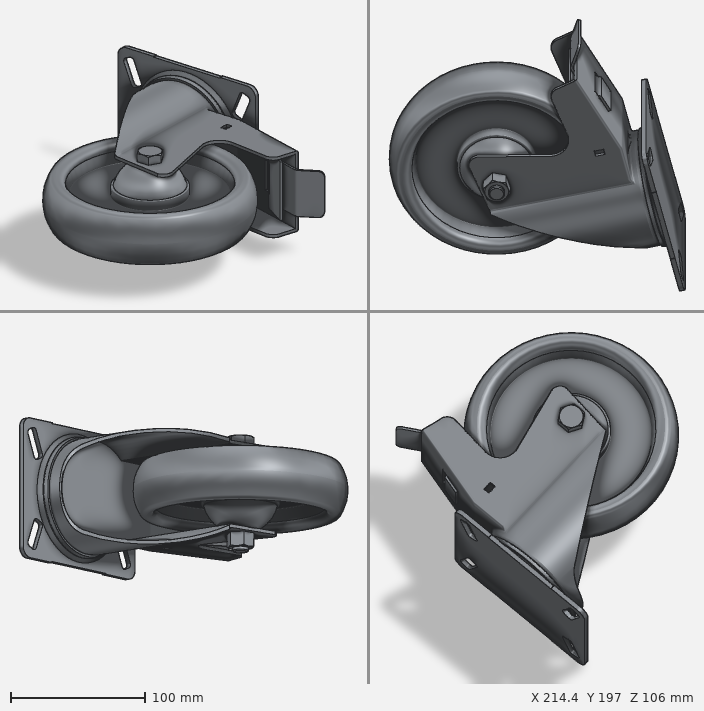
import cadquery as cq
import math


PLATE_LENGTH = 128.7
PLATE_WIDTH = 106.0
PLATE_THICKNESS = 3.6
PLATE_CORNER_RADIUS = 8.0
RELIEF_LENGTH = 61.8
RELIEF_DEPTH = 0.6
CUTTER_DEPTH = 4 * PLATE_THICKNESS
SLOT_LENGTH = 23.5
SLOT_WIDTH = 10.0
SLOT_CORNER_RADIUS = 3.0
SLOT_X = 50.6
SLOT_Z = 34.3
SLOT_TILT = 22.7
RING_TOP_RADIUS = 48.5
RING_WAIST_RADIUS = 45.7
RING_BOTTOM_RADIUS = 44.8
RING_GROOVE_RADIUS = 44.4
RING_GROOVE_TOP = -7.0
RING_GROOVE_BOTTOM = -7.5
RING_BOTTOM = -11.0

SHEET = 2.5
CUP_RADIUS = 43.7
CUP_INNER_RADIUS = CUP_RADIUS - SHEET
CUP_EDGE_INSET = 0.6
CUP_EDGE_HEIGHT = 2.5
CHEEK_INNER_Z = 30.5
CHEEK_OUTER_Z = CHEEK_INNER_Z + SHEET
CREASE_RADIUS = 2.4
WEB_TOP = -18.7
WEB_BEND_X = 61.8
WEB_SLOPE = 15.3
WEB_LENGTH = 70.8
WEB_EDGE_RADIUS = 2.4
WEB_BEND_RADIUS = 8.5
CHANNEL_OVERRUN = 2.1

BRAKE_LOBE_ARC = [(125.7, -52.3), (122.7, -58.1), (116.5, -60.0)]
WHEEL_BAY_ARC = [(82.0, -55.8), (70.8, -60.0), (66.7, -71.5)]
AXLE_LOBE_ARC = [(78.0, -123.0), (76.8, -130.8), (71.6, -133.8)]
AXLE_LOBE_CORNER = (26.5, -127.5)
MOUTH_ARC = [(-27.2, -30.7), (-33.9, -24.2), (-CUP_RADIUS, -21.7)]

WINDOW_WIDTH = 4.7
WINDOW_HEIGHT = 7.0
WINDOW_X = 61.8
WINDOW_Y = -36.2

OPENING_START = 33.0
OPENING_END = 42.7
OPENING_HALF_WIDTH = 12.5

WHEEL_X = 52.0
WHEEL_Y = -117.0
WHEEL_RADIUS = 80.0
TYRE_HALF_WIDTH = 20.4
TYRE_SHOULDER_RADIUS = 76.0
TYRE_SHOULDER_Z = 16.0
TYRE_LIP_RADIUS = 7.0
RIM_RADIUS = 63.0
RIM_HALF_WIDTH = TYRE_HALF_WIDTH - TYRE_LIP_RADIUS
DISC_RADIUS = 60.3
DISC_HALF_THICKNESS = 4.0
HUB_RADIUS = 29.4
HUB_STEP_Z = 12.2
DOME_RADIUS = 28.5
DOME_CENTRE_Z = 4.7
RIM_FILLET = 0.6

BOLT_RADIUS = 6.0
BOLT_END_Z = -46.8
BOLT_END_CHAMFER = 0.9
HEX_ACROSS_FLATS = 18.0
HEX_CHAMFER_INSET = 1.5
HEX_CHAMFER_HEIGHT = 0.9
HEAD_HEIGHT = 7.0
NUT_HEIGHT = 10.7
NUT_TURN = -5.0

LEVER_THICKNESS = 2.0
PEDAL_HALF_WIDTH = 18.9
PEDAL_CORNER_RADIUS = 4.7
PEDAL_SLOPE = 30.0
PEDAL_BEND_RADIUS = 2.8
PEDAL_TIP_X = 150.1
STRIP_START = 44.2
STRIP_END = 73.0
FOOT_HALF_WIDTH = 24.0
FOOT_LENGTH = 23.5
FOOT_SLOPE = 31.5
FOOT_X = 99.7
FOOT_Y = -34.0
HOOK_TIP = 21.9
HOOK_BEND = 36.5
HOOK_ROOT = 41.2
HOOK_THICKNESS = 2.0


def slab(outline, half_width):
    """Extrude a closed XY outline equally to both sides of Z = 0."""
    return outline.extrude(half_width, both=True)


def disc(radius, top, bottom):
    """Cylinder about the swivel axis between two heights in Y."""
    return cq.Workplane("XZ").workplane(offset=-top).circle(radius).extrude(top - bottom)


def web_point(distance, height=0.0):
    """Point on the sloping web: distance along it from the bend, height above its outer face."""
    slope = math.radians(WEB_SLOPE)
    x = WEB_BEND_X + distance * math.cos(slope) + height * math.sin(slope)
    y = WEB_TOP - distance * math.sin(slope) + height * math.cos(slope)
    return (x, y)


def on_wheel_axis(body):
    """Move a body built about the Z axis onto the wheel axis."""
    return body.translate((WHEEL_X, WHEEL_Y, 0))


def bearing_ring():
    profile = [
        (0, -PLATE_THICKNESS),
        (RING_TOP_RADIUS, -PLATE_THICKNESS),
        (RING_WAIST_RADIUS, RING_GROOVE_TOP),
        (RING_GROOVE_RADIUS, RING_GROOVE_TOP),
        (RING_GROOVE_RADIUS, RING_GROOVE_BOTTOM),
        (RING_WAIST_RADIUS, RING_GROOVE_BOTTOM),
        (RING_BOTTOM_RADIUS, RING_BOTTOM),
        (0, RING_BOTTOM),
    ]
    return cq.Workplane("XY").polyline(profile).close().revolve(360, (0, 0, 0), (0, 1, 0))


def make_plate():
    plate = (
        cq.Workplane("XY")
        .box(PLATE_LENGTH, PLATE_THICKNESS, PLATE_WIDTH)
        .edges("|Y")
        .fillet(PLATE_CORNER_RADIUS)
        .translate((0, -PLATE_THICKNESS / 2, 0))
    )
    slot = (
        cq.Workplane("XY")
        .box(SLOT_WIDTH, CUTTER_DEPTH, SLOT_LENGTH)
        .edges("|Y")
        .fillet(SLOT_CORNER_RADIUS)
    )
    relief = cq.Workplane("XY").box(RELIEF_LENGTH, CUTTER_DEPTH, 2 * RELIEF_DEPTH)
    for side_z in (-1, 1):
        plate = plate.cut(relief.translate((0, 0, side_z * PLATE_WIDTH / 2)))
        for side_x in (-1, 1):
            tilted = slot.rotate((0, 0, 0), (0, 1, 0), side_x * side_z * SLOT_TILT)
            plate = plate.cut(tilted.translate((side_x * SLOT_X, 0, side_z * SLOT_Z)))
    return plate.union(bearing_ring())


def fork_side_outline():
    """Outline of the fork along Z: open mouth, two cheek lobes and the sloping back."""
    outline = (
        cq.Workplane("XY")
        .moveTo(-CUP_RADIUS, RING_BOTTOM)
        .lineTo(CUP_RADIUS, RING_BOTTOM)
        .lineTo(CUP_RADIUS, WEB_TOP)
        .lineTo(WEB_BEND_X, WEB_TOP)
        .lineTo(*web_point(WEB_LENGTH))
    )
    for start, middle, end in (BRAKE_LOBE_ARC, WHEEL_BAY_ARC, AXLE_LOBE_ARC):
        outline = outline.lineTo(*start).threePointArc(middle, end)
    mouth_start, mouth_middle, mouth_end = MOUTH_ARC
    outline = (
        outline.lineTo(*AXLE_LOBE_CORNER)
        .lineTo(*mouth_start)
        .threePointArc(mouth_middle, mouth_end)
        .close()
    )
    return slab(outline, CUP_RADIUS)


def channel(half_width, drop):
    """Solid under the fork's back, its top lowered by the given drop below the outer face."""
    bottom = WHEEL_Y - WHEEL_RADIUS
    bend = (WEB_BEND_X - drop * math.tan(math.radians(WEB_SLOPE / 2)), WEB_TOP - drop)
    end = web_point(WEB_LENGTH + CHANNEL_OVERRUN, -drop)
    outline = [(0, WEB_TOP - drop), bend, end, (end[0], bottom), (0, bottom)]
    body = slab(cq.Workplane("XY").polyline(outline).close(), half_width)
    bend_edge = body.edges(cq.NearestToPointSelector((*bend, 0)))
    return bend_edge.fillet(WEB_BEND_RADIUS - drop)


def fork_outside():
    """Round cup joined to the channel, with the bend radii of the sheet."""
    depth = WHEEL_Y - WHEEL_RADIUS
    above_web = WEB_TOP + SHEET / 2
    cup = disc(CUP_RADIUS, RING_BOTTOM, depth)
    cup = cup.faces(">Y").chamfer(CUP_EDGE_HEIGHT, CUP_EDGE_INSET)
    outside = cup.union(channel(CHEEK_OUTER_Z, 0))

    joint_zone = cq.selectors.BoxSelector(
        (CUP_RADIUS / 2, WHEEL_Y, -CUP_RADIUS),
        (CUP_RADIUS, above_web, CUP_RADIUS),
    )
    outside = outside.edges(joint_zone).fillet(CREASE_RADIUS)

    upper_zone = cq.selectors.BoxSelector(
        (CUP_RADIUS, web_point(WEB_LENGTH)[1], -CUP_RADIUS),
        (web_point(WEB_LENGTH)[0], above_web, CUP_RADIUS),
    )
    return outside.edges(upper_zone).edges("not(|Z)").fillet(WEB_EDGE_RADIUS)


def make_fork():
    inside = disc(CUP_INNER_RADIUS, WEB_TOP - SHEET, WHEEL_Y - WHEEL_RADIUS)
    inside = inside.union(channel(CHEEK_INNER_Z, SHEET))
    fork = fork_outside().cut(inside).intersect(fork_side_outline())
    window = cq.Workplane("XY").center(WINDOW_X, WINDOW_Y).rect(WINDOW_WIDTH, WINDOW_HEIGHT)
    axle_hole = cq.Workplane("XY").center(WHEEL_X, WHEEL_Y).circle(BOLT_RADIUS)
    opening_corners = [
        web_point(OPENING_START, -SHEET),
        web_point(OPENING_END, -SHEET),
        web_point(OPENING_END),
        web_point(OPENING_START),
    ]
    opening = cq.Workplane("XY").polyline(opening_corners).close()
    fork = fork.cut(slab(window, CUP_RADIUS)).cut(slab(axle_hole, CUP_RADIUS))
    return fork.cut(slab(opening, OPENING_HALF_WIDTH))


def make_tyre():
    lip_radius = RIM_RADIUS + TYRE_LIP_RADIUS
    lip_mid = TYRE_LIP_RADIUS * (1 - math.sqrt(0.5))
    half = (
        cq.Workplane("XZ")
        .moveTo(WHEEL_RADIUS, 0)
        .lineTo(RIM_RADIUS, 0)
        .lineTo(RIM_RADIUS, RIM_HALF_WIDTH)
        .threePointArc((RIM_RADIUS + lip_mid, TYRE_HALF_WIDTH - lip_mid), (lip_radius, TYRE_HALF_WIDTH))
        .spline(
            [(TYRE_SHOULDER_RADIUS, TYRE_SHOULDER_Z), (WHEEL_RADIUS, 0)],
            tangents=[(1, 0), (0, -1)],
            includeCurrent=True,
        )
        .close()
        .revolve(360, (0, 0, 0), (0, 1, 0))
    )
    return on_wheel_axis(half.union(half.mirror("XY")))


def make_rim():
    def dome(z):
        return math.sqrt(DOME_RADIUS**2 - (z - DOME_CENTRE_Z) ** 2)

    dome_mid_z = (CHEEK_INNER_Z + HUB_STEP_Z) / 2
    half = (
        cq.Workplane("XZ")
        .moveTo(BOLT_RADIUS, 0)
        .lineTo(BOLT_RADIUS, CHEEK_INNER_Z)
        .lineTo(dome(CHEEK_INNER_Z), CHEEK_INNER_Z)
        .threePointArc((dome(dome_mid_z), dome_mid_z), (dome(HUB_STEP_Z), HUB_STEP_Z))
        .lineTo(HUB_RADIUS - RIM_FILLET, HUB_STEP_Z)
        .radiusArc((HUB_RADIUS, HUB_STEP_Z - RIM_FILLET), RIM_FILLET)
        .lineTo(HUB_RADIUS, DISC_HALF_THICKNESS + RIM_FILLET)
        .radiusArc((HUB_RADIUS + RIM_FILLET, DISC_HALF_THICKNESS), -RIM_FILLET)
        .lineTo(DISC_RADIUS - RIM_FILLET, DISC_HALF_THICKNESS)
        .radiusArc((DISC_RADIUS, DISC_HALF_THICKNESS + RIM_FILLET), -RIM_FILLET)
        .lineTo(RIM_RADIUS, RIM_HALF_WIDTH)
        .lineTo(RIM_RADIUS, 0)
        .close()
        .revolve(360, (0, 0, 0), (0, 1, 0))
    )
    return on_wheel_axis(half.union(half.mirror("XY")))


def hexagon(height):
    """Hexagonal prism standing on Z = 0 with its top corners turned off."""
    corner_diameter = HEX_ACROSS_FLATS / math.cos(math.pi / 6)
    turned = (
        cq.Workplane("XY")
        .circle(corner_diameter / 2)
        .extrude(height)
        .faces(">Z")
        .chamfer(HEX_CHAMFER_HEIGHT, HEX_CHAMFER_INSET)
    )
    return cq.Workplane("XY").polygon(6, corner_diameter).extrude(height).intersect(turned)


def make_bolt():
    head = hexagon(HEAD_HEIGHT).translate((0, 0, CHEEK_OUTER_Z))
    shank = (
        cq.Workplane("XY")
        .workplane(offset=BOLT_END_Z)
        .circle(BOLT_RADIUS)
        .extrude(CHEEK_OUTER_Z - BOLT_END_Z)
        .faces("<Z")
        .chamfer(BOLT_END_CHAMFER)
    )
    return on_wheel_axis(head.union(shank))


def make_nut():
    nut = hexagon(NUT_HEIGHT).mirror("XY").rotate((0, 0, 0), (0, 0, 1), NUT_TURN)
    bore = cq.Workplane("XY").circle(BOLT_RADIUS).extrude(-NUT_HEIGHT)
    return on_wheel_axis(nut.cut(bore).translate((0, 0, -CHEEK_OUTER_Z)))


def lever_pedal():
    """Strip running under the web, bent up into the pedal outside the fork."""
    slope = math.radians(PEDAL_SLOPE)
    half_bend = math.radians((PEDAL_SLOPE + WEB_SLOPE) / 2)
    lower = -SHEET - LEVER_THICKNESS
    bend_top = web_point(STRIP_END, -SHEET)
    bend_bottom = web_point(STRIP_END + LEVER_THICKNESS * math.tan(half_bend), lower)
    tip_y = bend_bottom[1] + (PEDAL_TIP_X - bend_bottom[0]) * math.tan(slope)
    tip_top = (PEDAL_TIP_X - LEVER_THICKNESS * math.sin(slope), tip_y + LEVER_THICKNESS * math.cos(slope))
    points = [
        web_point(STRIP_START, -SHEET),
        bend_top,
        tip_top,
        (PEDAL_TIP_X, tip_y),
        bend_bottom,
        web_point(STRIP_START, lower),
    ]
    strip = slab(cq.Workplane("XY").polyline(points).close(), PEDAL_HALF_WIDTH)
    bends = [(bend_top, PEDAL_BEND_RADIUS), (bend_bottom, PEDAL_BEND_RADIUS + LEVER_THICKNESS)]
    for corner, radius in bends:
        strip = strip.edges(cq.NearestToPointSelector((*corner, 0))).fillet(radius)
    tip_corners = strip.faces(">X").edges("not(|Z)")
    return tip_corners.fillet(PEDAL_CORNER_RADIUS)


def lever_foot():
    """Wide plate sloping down from the web towards the wheel."""
    size = (FOOT_LENGTH, LEVER_THICKNESS, 2 * FOOT_HALF_WIDTH)
    foot = cq.Workplane("XY").box(*size, centered=(False, False, True))
    return foot.rotate((0, 0, 0), (0, 0, 1), -FOOT_SLOPE).translate((FOOT_X, FOOT_Y, 0))


def lever_hook():
    """Tongue that rises from the foot through the opening and lies on top of the web."""
    foot_depth = -SHEET - HOOK_THICKNESS
    points = [
        web_point(HOOK_TIP),
        web_point(HOOK_TIP, HOOK_THICKNESS),
        web_point(HOOK_BEND, HOOK_THICKNESS),
        web_point(HOOK_ROOT + HOOK_THICKNESS, foot_depth),
        web_point(HOOK_ROOT, foot_depth),
        web_point(HOOK_BEND - HOOK_THICKNESS),
    ]
    return slab(cq.Workplane("XY").polyline(points).close(), OPENING_HALF_WIDTH)


def make_lever():
    return lever_pedal().union(lever_foot()).union(lever_hook())


plate = make_plate()
fork = make_fork()
tyre = make_tyre()
rim = make_rim()
bolt = make_bolt()
nut = make_nut()
lever = make_lever()

bodies = [plate, fork, tyre, rim, bolt, nut, lever]
result = cq.Compound.makeCompound([body.solids().val() for body in bodies])